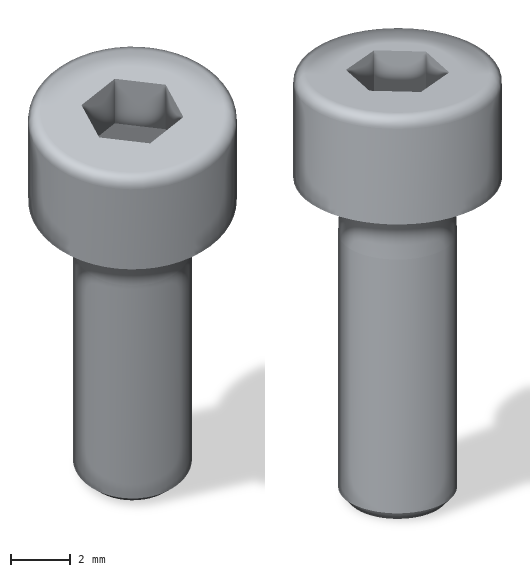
import cadquery as cq
import math

total_length = 16
head_diameter = 7.0
head_height = 4
head_edge_radius = 0.4

shank_diameter = 4
tip_chamfer_height = 0.37
tip_chamfer_width = 0.32
neck_length = 2.08
waist_depth = 0.03
thread_top = total_length - head_height - neck_length

socket_width = 3.0
socket_depth = 2.0


def make_head():
    """Cylindrical head with a rounded top rim."""
    head = cq.Workplane("XY").workplane(offset=total_length - head_height)
    head = head.circle(head_diameter / 2).extrude(head_height)
    return head.faces(">Z").edges().fillet(head_edge_radius)


def make_threaded_length():
    """Plain cylinder in place of the thread, with a chamfered tip."""
    shank = cq.Workplane("XY").circle(shank_diameter / 2).extrude(thread_top)
    return shank.faces("<Z").edges().chamfer(tip_chamfer_height, tip_chamfer_width)


def make_neck():
    """Slightly waisted length that joins the thread to the head."""
    radius = shank_diameter / 2
    neck_top = thread_top + neck_length
    waist = (radius - waist_depth, thread_top + neck_length / 2)
    profile = cq.Workplane("XZ").moveTo(0, thread_top).lineTo(radius, thread_top)
    profile = profile.threePointArc(waist, (radius, neck_top)).lineTo(0, neck_top).close()
    return profile.revolve(360, (0, 0, 0), (0, 1, 0))


def make_socket():
    """Hexagonal key socket with two corners on the X axis."""
    across_corners = socket_width / math.cos(math.pi / 6)
    socket = cq.Workplane("XY").workplane(offset=total_length)
    return socket.polygon(6, across_corners).extrude(-socket_depth)


shank = make_threaded_length().union(make_neck())
result = shank.union(make_head()).cut(make_socket())